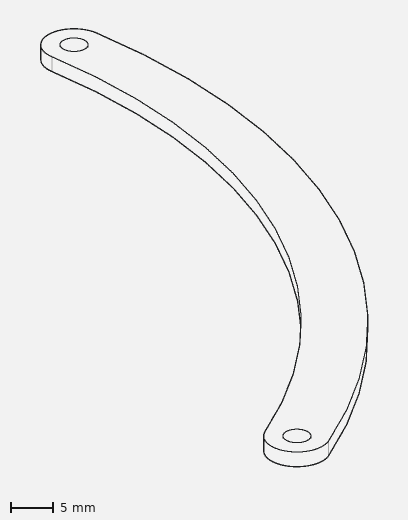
import cadquery as cq
import math

THICKNESS = 2.0
HOLE_DIAMETER = 3.3
CENTERLINE_RADIUS = 90.25
BAND_WIDTH = 7.86
END_RADIUS = BAND_WIDTH / 2
LEFT_HOLE_ANGLE = 21.73
RIGHT_HOLE_ANGLE = 45.0

OUTER_RADIUS = CENTERLINE_RADIUS + BAND_WIDTH / 2
INNER_RADIUS = CENTERLINE_RADIUS - BAND_WIDTH / 2


def arc_point(radius, angle):
    """Point on a circle about the origin, angle in degrees from +Y toward +X."""
    return (radius * math.sin(math.radians(angle)), radius * math.cos(math.radians(angle)))


HOLE_CENTERS = [
    arc_point(CENTERLINE_RADIUS, -LEFT_HOLE_ANGLE),
    arc_point(CENTERLINE_RADIUS, RIGHT_HOLE_ANGLE),
]


def curved_band():
    """Ring sector between the two hole positions, centered on the origin."""
    middle_angle = (RIGHT_HOLE_ANGLE - LEFT_HOLE_ANGLE) / 2
    return (
        cq.Workplane("XY")
        .moveTo(*arc_point(OUTER_RADIUS, -LEFT_HOLE_ANGLE))
        .threePointArc(
            arc_point(OUTER_RADIUS, middle_angle),
            arc_point(OUTER_RADIUS, RIGHT_HOLE_ANGLE),
        )
        .lineTo(*arc_point(INNER_RADIUS, RIGHT_HOLE_ANGLE))
        .threePointArc(
            arc_point(INNER_RADIUS, middle_angle),
            arc_point(INNER_RADIUS, -LEFT_HOLE_ANGLE),
        )
        .close()
        .extrude(THICKNESS)
    )


def discs_at_holes(diameter):
    """Full-thickness discs at both hole positions."""
    return cq.Workplane("XY").pushPoints(HOLE_CENTERS).circle(diameter / 2).extrude(THICKNESS)


rounded_band = curved_band().union(discs_at_holes(2 * END_RADIUS))
result = rounded_band.cut(discs_at_holes(HOLE_DIAMETER))